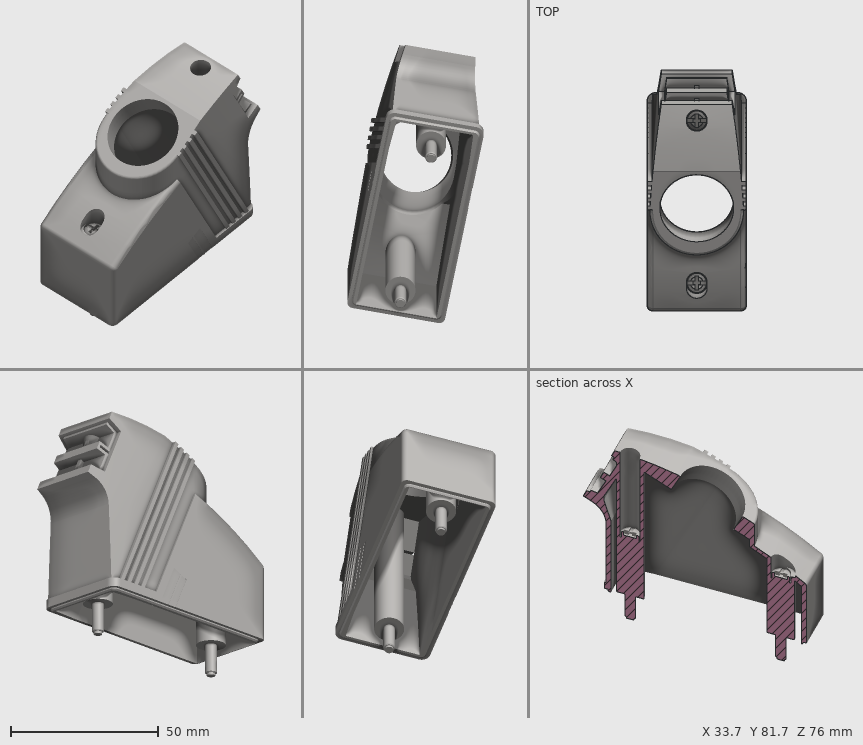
import cadquery as cq
import math


half_width = 16.85
half_length = 37.0
flange_height = 3.1
rear_corner_radius = 3.0
cap_edge_radius = 2.0
cap_top_v = 24.35
cap_front_height = 27.1
cap_crown_y, cap_crown_z = -17.97, 38.45
lip_inset = 1.3
lip_depth = 0.9
lip_chamfer = 0.5

tilt = math.radians(25)
panel_foot_y, panel_foot_z = 44.66, 40.1
panel_top_v = 27.52
outlet_face_v = 34.2
frame_reach = 90.0
clearance = 1.0

rear_wall_y = 36.35
overhang_straight = 3.3
panel_half_width = 12.0
side_mid_u, side_mid_half_width = 21.8, 14.8
crown_y, crown_z = 22.9, 64.2
crown_end_y = 10.3

rib_start_u = 25.84
rib_width = 1.5
rib_count = 4
rib_half_width = 16.6
rib_end_u = rib_start_u + (2 * rib_count - 1) * rib_width
cap_start_u = 41.33

boss_front_y = -18.0
boss_front_radius = 16.8
boss_side_angle = math.radians(37.4)
neck_half_width = 15.85
boss_edge_radius = 0.9
rim_skip = 0.1
outlet_diameter = 25.0
outlet_u = 35.8
outlet_depth = 8.0

recess_depth = 5.9
recess_mouth_v = (3.4, 24.5)
recess_floor_v = (4.7, 23.15)
insert_thickness = 1.0
insert_front_u = 1.1
rail_v = (12.3, 15.6)
rail_slot_v = (13.5, 14.5)
rail_slot_end_u = 1.9
web_width = 1.5
web_front_u = 3.4

wall = 2.0
overhang_inside_z = 32.0
cap_ceiling_start_y, cap_ceiling_start_z = -10.8, 39.8
cap_ceiling_mid_y, cap_ceiling_mid_z = -23.0, 33.6
cap_ceiling_end_z = 25.5

screw_y = 27.5
tube_radius = 5.1
bore_diameter = 7.1
front_bore_end_y = -32.7
head_seat_z = 26.0
head_height = 3.0
head_diameter = 6.6
head_flat_radius = 2.15
head_dome_height = 0.6
slot_width = 1.4
slot_depth = 1.0
cross_width = 1.2
cross_length = 4.6
cross_span = 2.6
cross_depth = 1.8
shank_diameter = 4.0
tip_diameter = 2.9
tip_length = 0.8
tip_chamfer = 0.3
screw_tip_z = -11.0

strip_u = ((44.4, 47.9), (48.55, 51.05))
strip_top_v = -8.0
strip_depth = 0.1


def tilted(u, v):
    """(Y, Z) of a point given in the tilted panel frame."""
    y = panel_foot_y - u * math.cos(tilt) - v * math.sin(tilt)
    z = panel_foot_z - u * math.sin(tilt) + v * math.cos(tilt)
    return (y, z)


def symmetric(sketch, half):
    """Extrude a closed YZ outline to both sides of X = 0."""
    return sketch.extrude(half, both=True)


def tilted_block(u0, u1, v0, v1, half):
    points = [tilted(u0, v0), tilted(u1, v0), tilted(u1, v1), tilted(u0, v1)]
    return symmetric(cq.Workplane("YZ").polyline(points).close(), half)


def below_mating_face_v(u):
    """The v at which the line of constant u meets the mating face Z = 0."""
    return (u * math.sin(tilt) - panel_foot_z) / math.cos(tilt)


def box_between(half, y0, y1, z0, z1):
    block = cq.Workplane("XY").box(2 * half, y1 - y0, z1 - z0, centered=(True, False, False))
    return block.translate((0, y0, z0))


def column(radius, y, z0, z1):
    return cq.Workplane("XY").workplane(offset=z0).center(0, y).circle(radius).extrude(z1 - z0)


def tilted_plane(u, v):
    """Work plane square to v: local X is the X axis, local Y points against u."""
    return cq.Plane(
        origin=(0, *tilted(u, v)),
        xDir=(1, 0, 0),
        normal=(0, -math.sin(tilt), math.cos(tilt)),
    )


def taper_wedge(inset):
    """Space between the two bulging side faces of the rear body, each moved inwards by inset."""
    near = panel_half_width - inset
    mid = side_mid_half_width - inset
    far = neck_half_width - inset
    return (
        cq.Workplane(tilted_plane(0, 0))
        .moveTo(-near, 0)
        .lineTo(near, 0)
        .threePointArc((mid, -side_mid_u), (far, -rib_end_u))
        .lineTo(far, -frame_reach)
        .lineTo(-far, -frame_reach)
        .lineTo(-far, -rib_end_u)
        .threePointArc((-mid, -side_mid_u), (-near, 0))
        .close()
        .extrude(frame_reach, both=True)
    )


def rear_body():
    """Tapered body from the panel to the end of the ribs, still without the panel recess."""
    straight_end = tilted(overhang_straight, 0)
    radius = (straight_end[0] - rear_wall_y) / (1 - math.sin(tilt))
    arc_start_z = straight_end[1] - radius * math.cos(tilt)
    mid_angle = (math.pi / 2 - tilt) / 2
    arc_mid = (
        rear_wall_y + radius * (1 - math.cos(mid_angle)),
        arc_start_z + radius * math.sin(mid_angle),
    )
    crown_end_u = (panel_foot_y - crown_end_y - outlet_face_v * math.sin(tilt)) / math.cos(tilt)
    outline = (
        cq.Workplane("YZ")
        .moveTo(rear_wall_y, 0)
        .lineTo(rear_wall_y, arc_start_z)
        .threePointArc(arc_mid, straight_end)
        .lineTo(*tilted(0, 0))
        .lineTo(*tilted(0, panel_top_v))
        .threePointArc((crown_y, crown_z), tilted(crown_end_u, outlet_face_v))
        .lineTo(*tilted(rib_end_u, outlet_face_v))
        .lineTo(*tilted(rib_end_u, below_mating_face_v(rib_end_u)))
        .close()
    )
    return symmetric(outline, half_width).intersect(taper_wedge(0))


def ribs():
    """Tilted grip ribs standing out of both tapered sides."""
    above_base = box_between(half_width, -half_length, half_length, 0, frame_reach)
    bars = cq.Workplane("YZ")
    for i in range(rib_count):
        u0 = rib_start_u + 2 * i * rib_width
        bars = bars.add(
            tilted_block(u0, u0 + rib_width, -frame_reach, outlet_face_v, rib_half_width)
        )
    return bars.combine().intersect(above_base)


def boss_column(inset):
    """Upright column of the neck and its rounded front, moved inwards by inset.

    A wide front arc runs tangentially into two tighter side arcs and the flat neck sides.
    """
    half = neck_half_width - inset
    front_radius = boss_front_radius - inset
    front_y = boss_front_y + inset
    front_center_y = front_y + front_radius
    sine, cosine = math.sin(boss_side_angle), math.cos(boss_side_angle)
    side_radius = (half - front_radius * sine) / (1 - sine)
    side_x = half - side_radius
    side_y = front_center_y - (front_radius - side_radius) * cosine
    joint = (front_radius * sine, front_center_y - front_radius * cosine)
    bend = boss_side_angle / 2 + math.pi / 4
    side_mid = (side_x + side_radius * math.sin(bend), side_y - side_radius * math.cos(bend))
    return (
        cq.Workplane("XY")
        .moveTo(half, half_length)
        .lineTo(half, side_y)
        .threePointArc(side_mid, joint)
        .threePointArc((0, front_y), (-joint[0], joint[1]))
        .threePointArc((-side_mid[0], side_mid[1]), (-half, side_y))
        .lineTo(-half, half_length)
        .close()
        .extrude(frame_reach)
    )


def outlet_boss():
    """Upright neck and round boss, cut off by the tilted outlet face."""
    boss = boss_column(0)
    boss = boss.intersect(
        tilted_block(rib_end_u, frame_reach, -frame_reach, outlet_face_v, half_width)
    )
    face_normal = cq.Vector(0, -math.sin(tilt), math.cos(tilt))
    rim = boss.faces(cq.selectors.DirectionMinMaxSelector(face_normal, True)).edges()
    ahead_of_ribs = cq.selectors.BoxSelector(
        (-half_width, tilted(rib_end_u + rim_skip, outlet_face_v)[0], 0),
        (half_width, -half_length, frame_reach),
    )
    return rim.edges(ahead_of_ribs).fillet(boss_edge_radius)


def front_cap():
    """Hood in front of the tilted step, with rounded front and upper edges."""
    outline = (
        cq.Workplane("YZ")
        .moveTo(-half_length, 0)
        .lineTo(*tilted(cap_start_u, below_mating_face_v(cap_start_u)))
        .lineTo(*tilted(cap_start_u, cap_top_v))
        .threePointArc((cap_crown_y, cap_crown_z), (-half_length, cap_front_height))
        .close()
    )
    cap = symmetric(outline, half_width)
    front_edges = cap.faces("<Y").edges("|Z or >Z")
    side_arcs = cap.edges("%CIRCLE")
    return front_edges.add(side_arcs).fillet(cap_edge_radius)


def flange():
    plate = box_between(half_width, -half_length, half_length, 0, flange_height)
    plate = plate.edges("|Z and >Y").fillet(rear_corner_radius)
    return plate.edges("|Z and <Y").fillet(cap_edge_radius)


def sealing_lip():
    length = half_length - lip_inset
    lip = box_between(half_width - lip_inset, -length, length, -lip_depth, 0)
    return lip.edges("|Z").fillet(cap_edge_radius).faces("<Z").chamfer(lip_chamfer)


def panel_recess():
    """Cut across the full width of the panel, with sloped upper and lower ends."""
    points = [
        tilted(-clearance, recess_mouth_v[0]),
        tilted(0, recess_mouth_v[0]),
        tilted(recess_depth, recess_floor_v[0]),
        tilted(recess_depth, recess_floor_v[1]),
        tilted(0, recess_mouth_v[1]),
        tilted(-clearance, recess_mouth_v[1]),
    ]
    return symmetric(cq.Workplane("YZ").polyline(points).close(), half_width)


def recess_edge_v(end, u):
    """The v of a sloped recess end (0 lower, 1 upper) at depth u."""
    slope = (recess_floor_v[end] - recess_mouth_v[end]) / recess_depth
    return recess_mouth_v[end] + slope * u


def panel_insert():
    """Thin lining of the recess with a hollow cross rail and a thin web."""
    floor_u = recess_depth - insert_thickness
    low_v, high_v = (recess_edge_v(end, floor_u) for end in (0, 1))
    points = [
        tilted(insert_front_u, recess_edge_v(0, insert_front_u)),
        tilted(recess_depth, recess_floor_v[0]),
        tilted(recess_depth, recess_floor_v[1]),
        tilted(insert_front_u, recess_edge_v(1, insert_front_u)),
        tilted(insert_front_u, recess_edge_v(1, insert_front_u) - insert_thickness),
        tilted(floor_u, high_v - insert_thickness),
        tilted(floor_u, rail_v[1]),
        tilted(insert_front_u, rail_v[1]),
        tilted(insert_front_u, rail_v[0]),
        tilted(floor_u, rail_v[0]),
        tilted(floor_u, low_v + insert_thickness),
        tilted(insert_front_u, recess_edge_v(0, insert_front_u) + insert_thickness),
    ]
    lining = symmetric(cq.Workplane("YZ").polyline(points).close(), half_width)
    slot = tilted_block(rail_slot_end_u, recess_depth, *rail_slot_v, half_width)
    web = tilted_block(web_front_u, recess_depth, low_v, high_v, web_width / 2)
    slot_web = tilted_block(rail_slot_end_u, recess_depth, *rail_slot_v, web_width / 2)
    return lining.cut(slot.cut(slot_web)).union(web).intersect(taper_wedge(wall))


def cavity():
    """Hollow interior, open at the mating face."""
    ceiling_v = outlet_face_v - outlet_depth
    front_y = wall - half_length
    rear_y = rear_wall_y - wall
    rear_outline = (
        cq.Workplane("YZ")
        .moveTo(rear_y, -lip_depth)
        .lineTo(rear_y, overhang_inside_z)
        .lineTo(*tilted(recess_depth, recess_floor_v[0]))
        .lineTo(*tilted(recess_depth, ceiling_v))
        .lineTo(*tilted(frame_reach, ceiling_v))
        .lineTo(front_y, -lip_depth)
        .close()
    )
    inside_column = boss_column(wall).translate((0, 0, -lip_depth))
    rear = symmetric(rear_outline, half_width).intersect(inside_column)
    cap_outline = (
        cq.Workplane("YZ")
        .moveTo(rear_y, -lip_depth)
        .lineTo(cap_ceiling_start_y, cap_ceiling_start_z)
        .threePointArc(
            (cap_ceiling_mid_y, cap_ceiling_mid_z),
            (front_y, cap_ceiling_end_z),
        )
        .lineTo(front_y, -lip_depth)
        .close()
    )
    cap = symmetric(cap_outline, half_width)
    return rear.union(cap).intersect(taper_wedge(wall))


def outlet_bore():
    drill = cq.Workplane(tilted_plane(outlet_u, outlet_face_v - outlet_depth - clearance))
    return drill.circle(outlet_diameter / 2).extrude(outlet_depth + 2 * clearance)


def screw_bore(y):
    return column(bore_diameter / 2, y, head_seat_z, frame_reach)


def front_bore_extension():
    """Stretches the mouth of the front screw bore towards the front wall."""
    radius = bore_diameter / 2
    round_y = front_bore_end_y + radius
    slot = box_between(radius, round_y, -screw_y, head_seat_z + head_height, frame_reach)
    return slot.union(column(radius, round_y, head_seat_z + head_height, frame_reach))


def screw(y):
    """Cross-slotted screw with a stepped tip."""
    head_top = head_seat_z + head_height
    shoulder = head_top - head_dome_height
    head = column(head_diameter / 2, y, head_seat_z, shoulder)
    dome_taper = math.degrees(math.atan2(head_diameter / 2 - head_flat_radius, head_dome_height))
    dome = cq.Workplane("XY").workplane(offset=shoulder).center(0, y)
    dome = dome.circle(head_diameter / 2).extrude(head_dome_height, taper=dome_taper)
    half_slot, half_cross, half_long = slot_width / 2, cross_width / 2, cross_length / 2
    slot = box_between(head_diameter, y - half_slot, y + half_slot, head_top - slot_depth, head_top)
    cross_floor = head_top - cross_depth
    long_arm = box_between(half_cross, y - half_long, y + half_long, cross_floor, head_top)
    short_arm = box_between(cross_span / 2, y - half_cross, y + half_cross, cross_floor, head_top)
    drive = slot.union(long_arm).union(short_arm)
    tip_start = screw_tip_z + tip_length
    shank = column(shank_diameter / 2, y, tip_start, head_seat_z)
    shank = shank.faces("<Z").chamfer(tip_chamfer)
    tip = column(tip_diameter / 2, y, screw_tip_z, tip_start)
    return head.union(dome).cut(drive).union(shank).union(tip)


def marking_strips():
    """Shallow tilted strips in both cap sides, just above the mating face."""
    outside = box_between(half_width, -half_length, half_length, 0, frame_reach)
    inside = box_between(
        half_width - strip_depth, -half_length, half_length, 0, frame_reach
    )
    strips = cq.Workplane("YZ")
    for u0, u1 in strip_u:
        strips = strips.add(tilted_block(u0, u1, -frame_reach, strip_top_v, half_width))
    return strips.combine().intersect(outside.cut(inside))


envelope = rear_body().union(outlet_boss()).union(front_cap().union(flange()).clean())
tubes = column(tube_radius, screw_y, 0, frame_reach).union(
    column(tube_radius, -screw_y, 0, frame_reach)
)
result = envelope.union(ribs()).union(sealing_lip())
result = result.cut(panel_recess()).cut(cavity()).union(panel_insert())
result = result.union(tubes.intersect(envelope)).cut(outlet_bore())
for y in (screw_y, -screw_y):
    result = result.cut(screw_bore(y))
result = result.cut(front_bore_extension()).cut(marking_strips())
for y in (screw_y, -screw_y):
    result = result.union(screw(y))
result = result.clean()